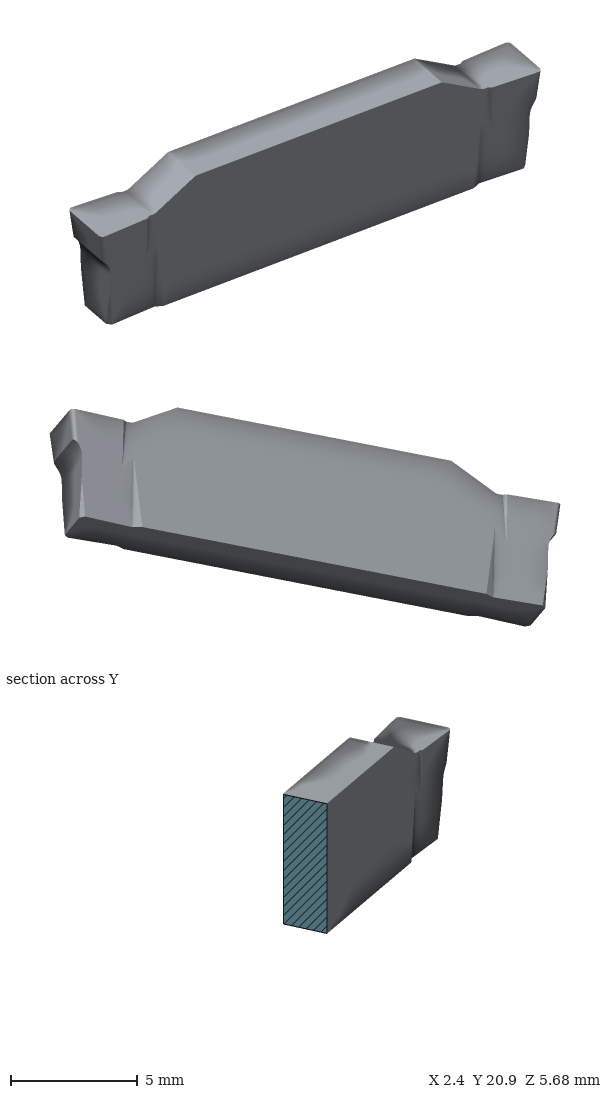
import cadquery as cq
import math

half_length = 10.44
height = 5.68
body_half_width = 0.98
head_top = 4.6
tip_half_width = 1.21
side_taper = 0.054
side_draft = 0.052

crown_half_length = 5.82
ramp_foot = 7.75
ramp_blend_radius = 0.31

lip_bottom = 3.32
lip_setback = 0.15
shank_top = 2.55
shank_front = 9.91
tip_corner_radius = 0.19

shoulder_front = 8.15
shoulder_back = 8.01
shoulder_step = 0.1
head_back = 7.72

relief_floor_start = 7.68
relief_wall_slope = 2.3

corner_cut_height = 1.67
corner_cut_leg = 0.19

clearance = 0.63


def head_half_width(y, z):
    return tip_half_width - side_taper * (half_length - y) - side_draft * (head_top - z)


def flat_sided_solid(lower, lower_z, upper, upper_z):
    """Solid with flat faces between two horizontal polygons with matching corners."""
    bottom = [cq.Vector(x, y, lower_z) for x, y in lower]
    top = [cq.Vector(x, y, upper_z) for x, y in upper]
    outlines = [bottom, top]
    for i in range(len(bottom)):
        outlines.append([bottom[i - 1], bottom[i], top[i], top[i - 1]])
    faces = [cq.Face.makeFromWires(cq.Wire.makePolygon(points, close=True)) for points in outlines]
    return cq.Workplane(cq.Solid.makeSolid(cq.Shell.makeShell(faces)))


def mirrored_in_x(shape):
    return shape.union(shape.mirror("YZ"))


def make_body():
    outline = [
        (-shoulder_front, 0),
        (shoulder_front, 0),
        (shoulder_front, head_top),
        (ramp_foot, head_top),
        (crown_half_length, height),
        (-crown_half_length, height),
        (-ramp_foot, head_top),
        (-shoulder_front, head_top),
    ]
    body = cq.Workplane("YZ").polyline(outline).close().extrude(body_half_width, both=True)
    for end in (-1, 1):
        foot = cq.selectors.NearestToPointSelector((0, end * ramp_foot, head_top))
        body = body.edges("|X").edges(foot).fillet(ramp_blend_radius)
    return body


def head_section(z, front):
    shoulder_half_width = head_half_width(shoulder_front, z)
    side = [
        (head_half_width(front, z), front),
        (shoulder_half_width, shoulder_front),
        (shoulder_half_width - shoulder_step, shoulder_back),
        (shoulder_half_width - shoulder_step, head_back),
    ]
    return side + [(-x, y) for x, y in reversed(side)]


def make_front_profile():
    """Side profile of the head: raked lip, concave throat and upright shank."""
    lip_front = half_length - lip_setback
    throat_run = lip_front - shank_front
    throat_rise = lip_bottom - shank_top
    radius = (throat_run**2 + throat_rise**2) / (2 * throat_run)
    half_angle = math.asin(throat_rise / radius) / 2
    throat_middle = (
        shank_front + radius * (1 - math.cos(half_angle)),
        shank_top + radius * math.sin(half_angle),
    )
    lip = (
        cq.Workplane("YZ")
        .moveTo(head_back, shank_top)
        .lineTo(shank_front, shank_top)
        .threePointArc(throat_middle, (lip_front, lip_bottom))
        .lineTo(half_length, head_top)
        .lineTo(head_back, head_top)
        .close()
        .extrude(2 * tip_half_width, both=True)
    )
    shank = (
        cq.Workplane("YZ")
        .polyline([(head_back, 0), (shank_front, 0), (shank_front, shank_top), (head_back, shank_top)])
        .close()
        .extrude(2 * tip_half_width, both=True)
    )
    return lip.union(shank)


def make_tip_rounding():
    """Drafted envelope of the lip with rounded vertical corners following the rake."""
    rake = lip_setback / (head_top - lip_bottom)
    lower = head_section(0, half_length - rake * head_top)
    upper = head_section(head_top, half_length)
    envelope = flat_sided_solid(lower, 0, upper, head_top)
    front_y = half_length - rake * head_top / 2
    for side in (-1, 1):
        corner = (side * head_half_width(front_y, head_top / 2), front_y, head_top / 2)
        envelope = envelope.edges(cq.selectors.NearestToPointSelector(corner)).fillet(tip_corner_radius)
    return envelope


def corner_cut_section(z, leg):
    x = head_half_width(shank_front, z)
    y = shank_front
    return [
        (x - leg - clearance, y + clearance),
        (x + clearance, y - leg - clearance),
        (x + clearance, y + clearance),
    ]


def make_corner_cuts():
    cut = flat_sided_solid(
        corner_cut_section(0, corner_cut_leg), 0,
        corner_cut_section(corner_cut_height, 0), corner_cut_height,
    )
    return mirrored_in_x(cut)


def make_head():
    return make_front_profile().intersect(make_tip_rounding()).cut(make_corner_cuts())


def relief_section(z):
    floor_start_half_width = head_half_width(relief_floor_start, z)
    outside = body_half_width + clearance
    wall_run = relief_wall_slope * (outside - floor_start_half_width)
    return [
        (outside, relief_floor_start - wall_run),
        (floor_start_half_width, relief_floor_start),
        (head_half_width(shoulder_front, z), shoulder_front),
        (outside, shoulder_front),
    ]


def make_reliefs():
    relief = flat_sided_solid(relief_section(0), 0, relief_section(head_top), head_top)
    return mirrored_in_x(relief)


head = make_head()
reliefs = make_reliefs()
result = make_body().cut(reliefs).cut(reliefs.mirror("XZ"))
result = result.union(head).union(head.mirror("XZ"))